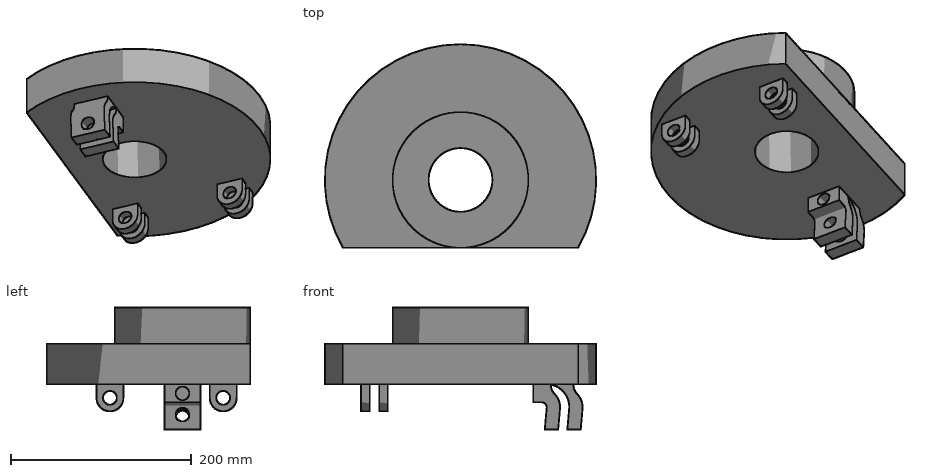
import cadquery as cq
import math

plate_radius = 150.0
flat_y = -plate_radius / 2
plate_thickness = 45.0
boss_radius = plate_radius / 2
total_height = 135.0
hook_drop = 50.0
boss_height = total_height - hook_drop - plate_thickness
bore_radius = 35.0

lug_thickness = 10.0
lug_left_faces = (-110.0, -90.0)
lug_centers_y = (80.0, -45.0)
lug_radius = 15.0
lug_drop = 15.0
pin_radius = 7.5

hook_width = 40.0
hook_pitch = 25.0
block_left = 80.0
block_right = 100.0
block_depth = 20.0
bend_x = 90.0
inner_bend = 5.0
leg_thickness = 15.0
outer_bend = inner_bend + leg_thickness
neck_radius = 15.0
inner_sweep = 25.0
leg_angle = math.radians(5)
bend_z = -(block_depth + inner_bend)
leg_hole_depth = 33.0
block_hole_depth = 15.0
block_hole_z = -block_depth / 2


def polar(center, radius, angle):
    """Point on a circle in the XZ plane."""
    return (center[0] + radius * math.cos(angle), center[1] + radius * math.sin(angle))


def arc_to(outline, center, radius, start, end):
    """Continue an outline along a circle between two angles."""
    return outline.threePointArc(polar(center, radius, (start + end) / 2), polar(center, radius, end))


def leg_foot(start):
    """Where a leg face starting at a point meets the bottom of the hooks."""
    return (start[0] - (hook_drop + start[1]) * math.tan(leg_angle), -hook_drop)


def finish_hook(outline, shift):
    """Close a hook from its inner leg face up the outer bend and neck to the plate."""
    bend = (bend_x + shift, bend_z)
    neck_x = block_right + shift + neck_radius
    neck_angle = math.acos((neck_x - bend[0]) / (outer_bend + neck_radius))
    neck = polar(bend, outer_bend + neck_radius, neck_angle)
    leg_start = polar(bend, outer_bend, -leg_angle)
    outline = outline.lineTo(*leg_foot(leg_start)).lineTo(*leg_start)
    outline = arc_to(outline, bend, outer_bend, -leg_angle, neck_angle)
    outline = arc_to(outline, neck, neck_radius, neck_angle - math.pi, -math.pi)
    profile = outline.lineTo(block_right + shift, 0).close()
    return profile.extrude(hook_width / 2, both=True)


def block_hook():
    bend = (bend_x, bend_z)
    outline = cq.Workplane("XZ").moveTo(block_left, 0).lineTo(block_left, -block_depth)
    outline = outline.lineTo(bend_x, -block_depth)
    outline = arc_to(outline, bend, inner_bend, math.pi / 2, -leg_angle)
    outline = outline.lineTo(*leg_foot(polar(bend, inner_bend, -leg_angle)))
    return finish_hook(outline, 0)


def swept_hook():
    sweep_z = -inner_sweep
    sweep_x = (bend_x + hook_pitch - (inner_sweep - inner_bend) / math.cos(leg_angle)
               + (sweep_z - bend_z) * math.tan(leg_angle))
    sweep = (sweep_x, sweep_z)
    outline = cq.Workplane("XZ").moveTo(sweep_x, 0)
    outline = arc_to(outline, sweep, inner_sweep, math.pi / 2, -leg_angle)
    outline = outline.lineTo(*leg_foot(polar(sweep, inner_sweep, -leg_angle)))
    return finish_hook(outline, hook_pitch)


def pin_hole(x, z, length, tilt=0):
    """Cylinder along +X from a point, tilted downward by an angle."""
    direction = cq.Vector(math.cos(tilt), 0, -math.sin(tilt))
    return cq.Workplane(cq.Solid.makeCylinder(pin_radius, length, cq.Vector(x, 0, z), direction))


def lug(left_face, center_y):
    plane = cq.Workplane("YZ", origin=(left_face, center_y, -lug_drop))
    ear = plane.circle(lug_radius).extrude(lug_thickness)
    neck = plane.center(0, lug_drop / 2).rect(2 * lug_radius, lug_drop).extrude(lug_thickness)
    return ear.union(neck).cut(plane.circle(pin_radius).extrude(lug_thickness))


flat_half = math.sqrt(plate_radius**2 - flat_y**2)
result = (
    cq.Workplane("XY").moveTo(-flat_half, flat_y)
    .threePointArc((0, plate_radius), (flat_half, flat_y)).close()
    .extrude(plate_thickness)
)
boss = cq.Workplane("XY").workplane(offset=plate_thickness).circle(boss_radius).extrude(boss_height)
bore = cq.Workplane("XY").circle(bore_radius).extrude(plate_thickness + boss_height)
result = result.union(boss).cut(bore)

hooks = block_hook().union(swept_hook())
hooks = hooks.cut(pin_hole(block_left, block_hole_z, block_hole_depth))
hooks = hooks.cut(pin_hole(bend_x, -leg_hole_depth, 2 * hook_width, leg_angle))
result = result.union(hooks)

for left_face in lug_left_faces:
    for center_y in lug_centers_y:
        result = result.union(lug(left_face, center_y))